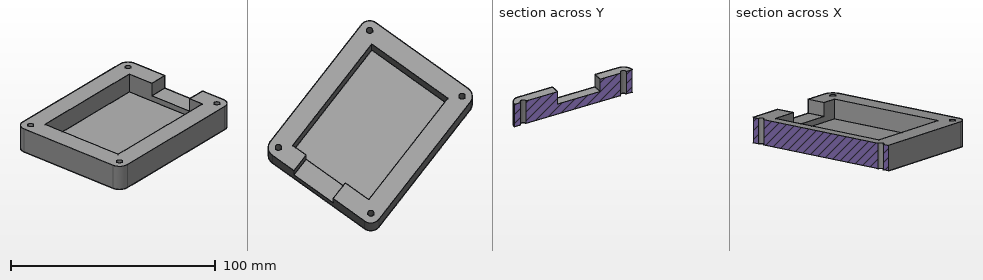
import cadquery as cq

width = 66.2
length = 84.5
height = 13.0
corner_radius = 5.0

wall = 10.0
floor_thickness = 3.0

hole_diameter = 3.0

notch_width = 23.8
notch_offset = 3.0
notch_depth = 7.0


def make_body():
    """Solid block with rounded vertical corners, resting on Z = 0."""
    block = cq.Workplane("XY").box(width, length, height, centered=(True, True, False))
    return block.edges("|Z").fillet(corner_radius)


def make_pocket():
    """Volume removed from the top, leaving an equal wall all round."""
    return (
        cq.Workplane("XY")
        .workplane(offset=floor_thickness)
        .rect(width - 2 * wall, length - 2 * wall)
        .extrude(height - floor_thickness)
    )


def make_notch():
    """Volume removed from the upper part of the +Y wall."""
    return (
        cq.Workplane("XY")
        .workplane(offset=height - notch_depth)
        .center(notch_offset, (length - wall) / 2)
        .rect(notch_width, wall)
        .extrude(notch_depth)
    )


def make_screw_holes():
    """Four through holes, one at each corner centre."""
    return (
        cq.Workplane("XY")
        .rect(width - 2 * corner_radius, length - 2 * corner_radius, forConstruction=True)
        .vertices()
        .circle(hole_diameter / 2)
        .extrude(height)
    )


result = make_body().cut(make_pocket()).cut(make_notch()).cut(make_screw_holes())